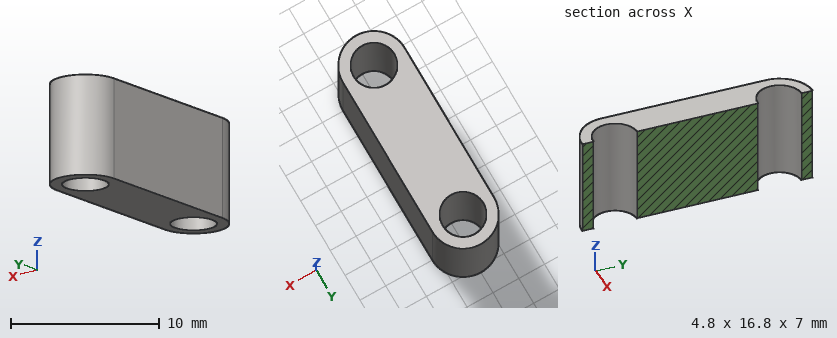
import cadquery as cq

width = 4.8
hole_spacing = 12.0
height = 7.0
hole_diameter = 3.15

length = hole_spacing + width


def link_body():
    """Straight link with full-round ends, long axis along Y, base at Z = 0."""
    return cq.Workplane("XY").slot2D(length, width, angle=90).extrude(height)


def hole_cutters():
    """Cylinders for the through hole at the centre of each rounded end."""
    half_spacing = hole_spacing / 2
    centers = [(0, -half_spacing), (0, half_spacing)]
    return cq.Workplane("XY").pushPoints(centers).circle(hole_diameter / 2).extrude(height)


result = link_body().cut(hole_cutters())